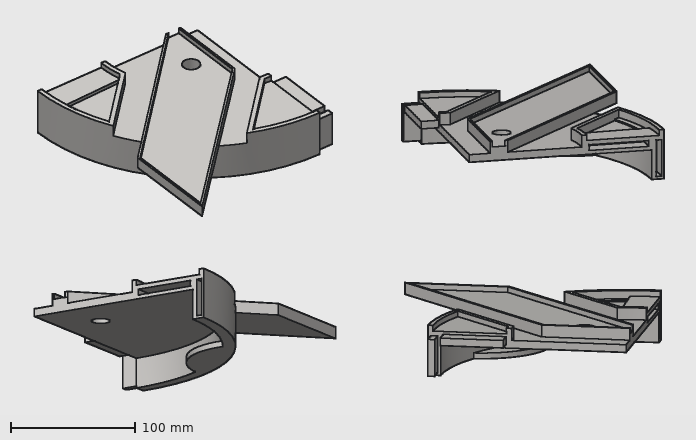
import cadquery as cq
import math

outer_radius = 162.0
skirt_thickness = 10.5
skirt_radius = outer_radius - skirt_thickness
total_height = 41.0
deck_bottom = 24.8
deck_top = 31.2
tray_floor = 36.5

sector_inner_radius = 93.6
tray_rim = 4.2
upper_diagonal = 84.9
lower_diagonal = -67.6
step_x_inner = 22.3
step_x_outer = 24.5
step_floor = 33.3
ledge_floor = 34.3

arm_outline = [(0, -17.3), (72.0, -17.3), (208, -154.5), (122.7, -154.5), (0, -32.0)]
arm_rim = 1.9
recess_overrun = 18.7
arm_hole_diameter = 15.0
arm_hole_center = (40.5, -37.5)

tab_length = 14.5
tab_bottom = 27.9
tab_top = 34.1
tab_start = 98.0
tab_end = 149.4
leg_start = 154.0
leg_end = 159.5
leg_bottom = 2.3
slot_top = 32.7
slot_start = 99.6
leg_slot_start = 155.4
leg_slot_end = 160.2

foot_center = (139.4, -122.5)
foot_radius = 56.2
foot_thickness = 4.8

diagonal_rim = tray_rim * math.sqrt(2)
reach = 2 * outer_radius


def box(x_range, y_range, z_range):
    """Axis-aligned block between the given limits."""
    (x0, x1), (y0, y1), (z0, z1) = x_range, y_range, z_range
    return cq.Workplane("XY").box(x1 - x0, y1 - y0, z1 - z0, centered=False).translate((x0, y0, z0))


def prism(points, bottom, top):
    """Vertical prism on a polygon outline."""
    return cq.Workplane("XY").workplane(offset=bottom).polyline(points).close().extrude(top - bottom)


def quarter(radius, bottom, top):
    """Quarter disc in the +X / -Y quadrant."""
    middle = radius * math.sqrt(0.5)
    outline = cq.Workplane("XY").workplane(offset=bottom).lineTo(radius, 0)
    outline = outline.threePointArc((middle, -middle), (0, -radius)).close()
    return outline.extrude(top - bottom)


def sector(inner, outer, diagonal, side, bottom, top):
    """Quarter ring cut by the 45 degree line x + y = diagonal; side is +1 above it, -1 below it."""
    ring = quarter(outer, bottom, top).cut(quarter(inner, bottom, top))
    half_plane = [
        (-reach, diagonal + reach),
        (reach, diagonal - reach),
        (reach * (1 + side), diagonal + reach * (side - 1)),
        (reach * (side - 1), diagonal + reach * (1 + side)),
    ]
    return ring.intersect(prism(half_plane, bottom, top))


def tray(diagonal, side):
    """Raised sector with a shallow recess inside its rim."""
    raised = sector(sector_inner_radius, outer_radius, diagonal, side, deck_bottom, total_height)
    recess = tray_recess(diagonal, side, outer_radius - tray_rim, tray_floor)
    return raised.cut(recess)


def tray_recess(diagonal, side, radius, floor):
    """Space inside the rim of a sector tray."""
    inner_diagonal = diagonal + side * diagonal_rim
    return sector(sector_inner_radius + tray_rim, radius, inner_diagonal, side, floor, total_height)


def arm():
    """Straight pointer with a recessed top, open at the X = 0 end."""
    bar = prism(arm_outline, deck_top, total_height)
    top_end, top_corner, tip, heel, low_end = arm_outline
    slope = (heel[1] - low_end[1]) / heel[0]
    far_top = (-recess_overrun, top_end[1])
    far_low = (-recess_overrun, low_end[1] - slope * recess_overrun)
    extended = [far_top, top_corner, tip, heel, far_low]
    recess = cq.Workplane("XY").workplane(offset=tray_floor).polyline(extended).close()
    return bar.cut(recess.offset2D(-arm_rim).extrude(total_height - tray_floor))


body = quarter(outer_radius, 0, deck_top).cut(quarter(skirt_radius, 0, deck_bottom))
foot = cq.Workplane("XY").center(*foot_center).circle(foot_radius).extrude(foot_thickness)
body = body.union(foot.intersect(quarter(outer_radius, 0, foot_thickness)))

body = body.union(tray(upper_diagonal, 1))
body = body.union(tray(lower_diagonal, -1))
body = body.union(arm())

step_side = prism(
    [
        (step_x_inner, -sector_inner_radius),
        (step_x_outer, -outer_radius),
        (reach, -outer_radius),
        (reach, -sector_inner_radius),
    ],
    step_floor,
    total_height,
)
for radius, floor in [(skirt_radius, step_floor), (outer_radius - tray_rim, ledge_floor)]:
    body = body.cut(tray_recess(lower_diagonal, -1, radius, floor).intersect(step_side))

hole = cq.Workplane("XY").center(*arm_hole_center).circle(arm_hole_diameter / 2).extrude(total_height)
body = body.cut(hole)

body = body.union(box((tab_start, tab_end), (0, tab_length), (tab_bottom, tab_top)))
body = body.union(box((leg_start, leg_end), (0, tab_length), (leg_bottom, slot_top)))

body = body.cut(box((0, tab_length), (-tab_end, -slot_start), (tab_bottom, slot_top)))
leg_ring = quarter(leg_slot_end, leg_bottom, slot_top).cut(quarter(leg_slot_start, leg_bottom, slot_top))
body = body.cut(leg_ring.intersect(box((0, tab_length), (-outer_radius, 0), (leg_bottom, slot_top))))

result = body